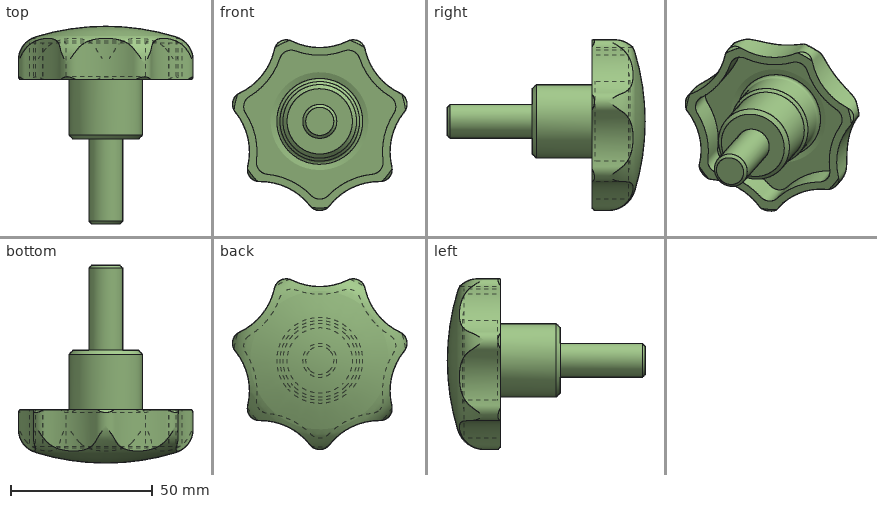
import cadquery as cq
import math


overall_length = 69.85

lobe_count = 7
lobe_center_radius = 27.2
lobe_radius = 4.3
head_radius = lobe_center_radius + lobe_radius
valley_radius = 26.05
head_height = 18.85
dome_radius = 83.8
shoulder_radius = 10.0
rim_chamfer = 1.0

wall = 2.7
pocket_lobe_center_radius = 23.2
pocket_depth = 13.0

recess_outer_radius = 17.25
recess_inner_radius = 15.15
recess_depth = 0.55

hub_radius = 13.0
hub_end = -21.0
hub_chamfer = 1.5
collar_radius = 14.05
collar_end = 0.0
collar_chamfer = collar_radius - hub_radius
root_fillet = recess_inner_radius - collar_radius
stud_radius = 6.0
stud_end = head_height - overall_length
stud_chamfer = 1.05

half_pitch = math.pi / lobe_count


def scallop_radius_for(center_radius, round_radius, valley):
    """Radius of the hollow arc that reaches the valley and is tangent to its two lobe arcs."""
    across = center_radius * math.sin(half_pitch)
    along = center_radius * math.cos(half_pitch) - valley
    return (across**2 + along**2 - round_radius**2) / (2 * (along + round_radius))


def polar(radius, angle):
    return (radius * math.cos(angle), radius * math.sin(angle))


def lobed_prism(center_radius, round_radius, valley, scallop_radius, height):
    """Star of tangent lobe and scallop arcs, extruded from the rim face toward +Y."""
    scallop_center = valley + scallop_radius
    share = round_radius / (round_radius + scallop_radius)
    joint_along = center_radius + share * (scallop_center * math.cos(half_pitch) - center_radius)
    joint_across = share * scallop_center * math.sin(half_pitch)
    joint_radius = math.hypot(joint_along, joint_across)
    joint_angle = math.atan2(joint_across, joint_along)
    first_lobe = math.pi / 2
    plane = cq.Plane(origin=(0, 0, 0), xDir=(1, 0, 0), normal=(0, 1, 0))
    outline = cq.Workplane(plane).moveTo(*polar(joint_radius, first_lobe - joint_angle))
    for index in range(lobe_count):
        lobe = first_lobe + 2 * half_pitch * index
        next_lobe = lobe + 2 * half_pitch
        outline = outline.threePointArc(
            polar(center_radius + round_radius, lobe), polar(joint_radius, lobe + joint_angle)
        )
        outline = outline.threePointArc(
            polar(valley, lobe + half_pitch), polar(joint_radius, next_lobe - joint_angle)
        )
    return outline.close().extrude(height)


def revolve_about_y(profile):
    return profile.close().revolve(360, (0, 0, 0), (0, 1, 0))


def domed_blank():
    """Turned head: chamfered rim, round shoulder and shallow spherical dome."""
    dome_center = head_height - dome_radius
    shoulder_x = head_radius - shoulder_radius
    center_gap = dome_radius - shoulder_radius
    tilt = math.asin(shoulder_x / center_gap)
    shoulder_y = dome_center + center_gap * math.cos(tilt)
    middle = (math.pi / 2 - tilt) / 2
    profile = (
        cq.Workplane("XY")
        .lineTo(head_radius - rim_chamfer, 0)
        .lineTo(head_radius, rim_chamfer)
        .lineTo(head_radius, shoulder_y)
        .threePointArc(
            (
                shoulder_x + shoulder_radius * math.cos(middle),
                shoulder_y + shoulder_radius * math.sin(middle),
            ),
            (dome_radius * math.sin(tilt), dome_center + dome_radius * math.cos(tilt)),
        )
        .threePointArc(
            (dome_radius * math.sin(tilt / 2), dome_center + dome_radius * math.cos(tilt / 2)),
            (0, head_height),
        )
    )
    return revolve_about_y(profile)


def recess():
    """Cone narrowing into the head from the pocket floor."""
    profile = (
        cq.Workplane("XY")
        .moveTo(0, pocket_depth)
        .lineTo(recess_outer_radius, pocket_depth)
        .lineTo(recess_inner_radius, pocket_depth + recess_depth)
        .lineTo(0, pocket_depth + recess_depth)
    )
    return revolve_about_y(profile)


def hub_and_stud():
    """Turned core: stud, hub, collar and the fillet where the collar meets the recess."""
    root = pocket_depth + recess_depth
    fillet_offset = root_fillet * (1 - math.sqrt(0.5))
    profile = (
        cq.Workplane("XY")
        .moveTo(0, stud_end)
        .lineTo(stud_radius - stud_chamfer, stud_end)
        .lineTo(stud_radius, stud_end + stud_chamfer)
        .lineTo(stud_radius, hub_end)
        .lineTo(hub_radius - hub_chamfer, hub_end)
        .lineTo(hub_radius, hub_end + hub_chamfer)
        .lineTo(hub_radius, collar_end)
        .lineTo(collar_radius, collar_end + collar_chamfer)
        .lineTo(collar_radius, root - root_fillet)
        .threePointArc(
            (collar_radius + fillet_offset, root - fillet_offset), (recess_inner_radius, root)
        )
        .lineTo(0, root)
    )
    return revolve_about_y(profile)


scallop_radius = scallop_radius_for(lobe_center_radius, lobe_radius, valley_radius)
pocket_valley_radius = valley_radius - wall
pocket_scallop_radius = scallop_radius + wall
pocket_lobe_radius = (
    math.hypot(
        pocket_lobe_center_radius * math.sin(half_pitch),
        valley_radius + scallop_radius - pocket_lobe_center_radius * math.cos(half_pitch),
    )
    - pocket_scallop_radius
)

head = domed_blank().intersect(
    lobed_prism(lobe_center_radius, lobe_radius, valley_radius, scallop_radius, head_height)
)
pocket = lobed_prism(
    pocket_lobe_center_radius,
    pocket_lobe_radius,
    pocket_valley_radius,
    pocket_scallop_radius,
    pocket_depth,
)
result = head.cut(pocket).cut(recess()).union(hub_and_stud())